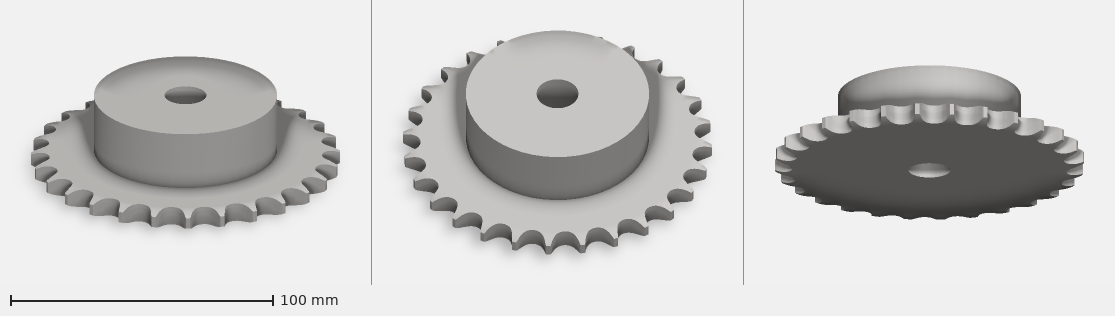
import cadquery as cq
import math

tooth_count = 28
chain_pitch = 12.7
outer_diameter = 118.0
plate_thickness = 7.3

overall_height = 30.0
hub_diameter = 70.0
bore_diameter = 16.0

roller_diameter = 8.6
seat_angle = math.radians(35 + 60 / tooth_count)
working_sweep = math.radians(18 - 56 / tooth_count)
topping_angle = math.radians(17 - 64 / tooth_count)
topping_sweep = math.radians(15)

seat_factor = 0.5025
working_factor = 1.3025
working_offset_factor = 0.8
topping_offset_factor = 1.4

seat_radius = seat_factor * roller_diameter
working_radius = working_factor * roller_diameter
working_offset = working_offset_factor * roller_diameter
topping_offset = topping_offset_factor * roller_diameter
straight_length = topping_offset * math.sin(topping_angle) - working_offset * math.sin(working_sweep)
topping_radius = (
    working_offset * math.cos(working_sweep)
    + topping_offset * math.cos(topping_angle)
    - working_radius
)

flat_face_diameter = 106.2
side_round_radius = 12.7

pitch_radius = chain_pitch / (2 * math.sin(math.pi / tooth_count))
outer_radius = outer_diameter / 2
flat_face_radius = flat_face_diameter / 2


def make_blank():
    """Turned plate whose rim is rounded on both faces to thin the teeth."""
    rim_width = outer_radius - flat_face_radius
    half_width = rim_width / 2

    def round_drop(width):
        return side_round_radius - math.sqrt(side_round_radius**2 - width**2)

    middle_radius = flat_face_radius + half_width
    middle_drop = round_drop(half_width)
    rim_drop = round_drop(rim_width)
    lower_middle = (middle_radius, middle_drop)
    upper_middle = (middle_radius, plate_thickness - middle_drop)
    section = (
        cq.Workplane("XZ")
        .lineTo(flat_face_radius, 0)
        .threePointArc(lower_middle, (outer_radius, rim_drop))
        .lineTo(outer_radius, plate_thickness - rim_drop)
        .threePointArc(upper_middle, (flat_face_radius, plate_thickness))
        .lineTo(0, plate_thickness)
        .close()
    )
    return section.revolve(360, (0, 0, 0), (0, 1, 0))


def arc_point(start, heading, radius, sweep):
    """Point reached from start along an arc; a positive sweep turns left."""
    chord = 2 * radius * math.sin(abs(sweep) / 2)
    chord_heading = heading + sweep / 2
    return start[0] + chord * math.cos(chord_heading), start[1] + chord * math.sin(chord_heading)


def make_gap_cutter():
    """Cutter for the tooth gap centred on +Y, open past the tooth tips.

    From the gap bottom each flank is a seat arc, a flatter working arc, a short
    straight and a convex topping arc, all tangent to each other.
    """
    gap_bottom = (0, pitch_radius - seat_radius)
    seat_sweep = math.pi / 2 - seat_angle
    flank_heading = seat_sweep + working_sweep

    seat_end = arc_point(gap_bottom, 0, seat_radius, seat_sweep)
    working_middle = arc_point(seat_end, seat_sweep, working_radius, working_sweep / 2)
    working_end = arc_point(seat_end, seat_sweep, working_radius, working_sweep)
    straight_end = (
        working_end[0] + straight_length * math.cos(flank_heading),
        working_end[1] + straight_length * math.sin(flank_heading),
    )
    topping_middle = arc_point(straight_end, flank_heading, topping_radius, -topping_sweep / 2)
    topping_end = arc_point(straight_end, flank_heading, topping_radius, -topping_sweep)

    def mirrored(point):
        return -point[0], point[1]

    return (
        cq.Workplane("XY")
        .moveTo(*mirrored(topping_end))
        .threePointArc(mirrored(topping_middle), mirrored(straight_end))
        .lineTo(*mirrored(working_end))
        .threePointArc(mirrored(working_middle), mirrored(seat_end))
        .threePointArc(gap_bottom, seat_end)
        .threePointArc(working_middle, working_end)
        .lineTo(*straight_end)
        .threePointArc(topping_middle, topping_end)
        .close()
        .extrude(plate_thickness)
    )


def cut_tooth_gaps(blank):
    """Blank with the gaps cut evenly around it, one of them on +Y."""
    cutter = make_gap_cutter()
    for index in range(tooth_count):
        angle = index * 360 / tooth_count
        blank = blank.cut(cutter.rotate((0, 0, 0), (0, 0, 1), angle))
    return blank


sprocket_plate = cut_tooth_gaps(make_blank())
hub = cq.Workplane("XY").circle(hub_diameter / 2).extrude(overall_height)
bore = cq.Workplane("XY").circle(bore_diameter / 2).extrude(overall_height)
result = sprocket_plate.union(hub).cut(bore)